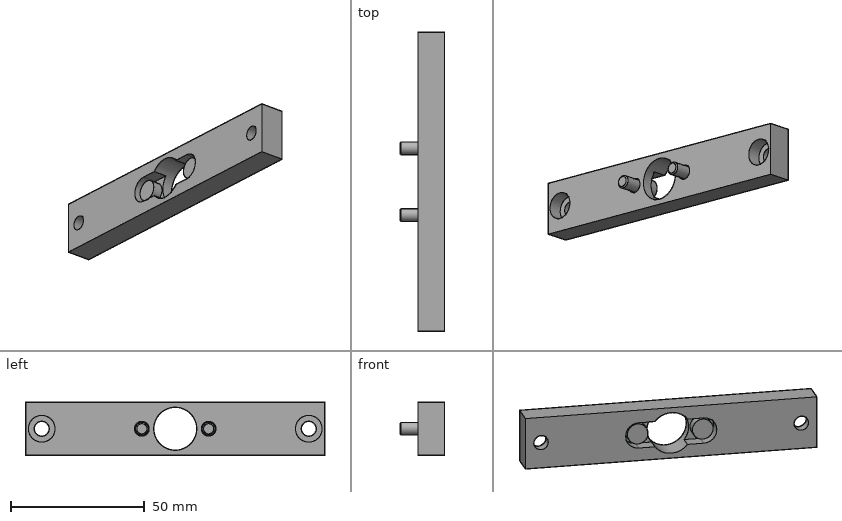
import cadquery as cq

bar_thickness = 10.0
bar_length = 112.0
bar_height = 20.0
bore_diameter = 16.0

clearance_diameter = 5.5
mount_counterbore_diameter = 10.0
mount_counterbore_depth = 5.7
mount_spacing = 100.0

screw_spacing = 25.0
screw_diameter = 4.83
screw_protrusion = 6.81
screw_tip_chamfer = 0.5
screw_head_diameter = 7.92
screw_head_height = 4.0

slot_width = mount_counterbore_diameter
slot_depth = mount_counterbore_depth
slot_length = screw_spacing + slot_width
slot_floor_x = bar_thickness - slot_depth


def rod(start_x, length, diameter, center_y=0.0):
    """Cylinder along +X, starting at start_x."""
    return (
        cq.Workplane("YZ", origin=(start_x, center_y, 0))
        .circle(diameter / 2)
        .extrude(length)
    )


def make_bar():
    bar = cq.Workplane("XY").box(bar_thickness, bar_length, bar_height, centered=(False, True, True))
    bar = bar.cut(rod(0, bar_thickness, bore_diameter))
    for side in (-1, 1):
        mount_y = side * mount_spacing / 2
        bar = bar.cut(rod(0, bar_thickness, clearance_diameter, mount_y))
        bar = bar.cut(rod(0, mount_counterbore_depth, mount_counterbore_diameter, mount_y))
        bar = bar.cut(rod(0, bar_thickness, clearance_diameter, side * screw_spacing / 2))
    slot = (
        cq.Workplane("YZ", origin=(slot_floor_x, 0, 0))
        .slot2D(slot_length, slot_width)
        .extrude(slot_depth)
    )
    return bar.cut(slot)


def make_screw(center_y):
    shank = rod(-screw_protrusion, screw_protrusion + slot_floor_x, screw_diameter, center_y)
    shank = shank.faces("<X").chamfer(screw_tip_chamfer)
    head = rod(slot_floor_x, screw_head_height, screw_head_diameter, center_y)
    return shank.union(head)


bar = make_bar()
screws = [make_screw(side * screw_spacing / 2) for side in (-1, 1)]

result = cq.Compound.makeCompound([bar.val(), *[screw.val() for screw in screws]])